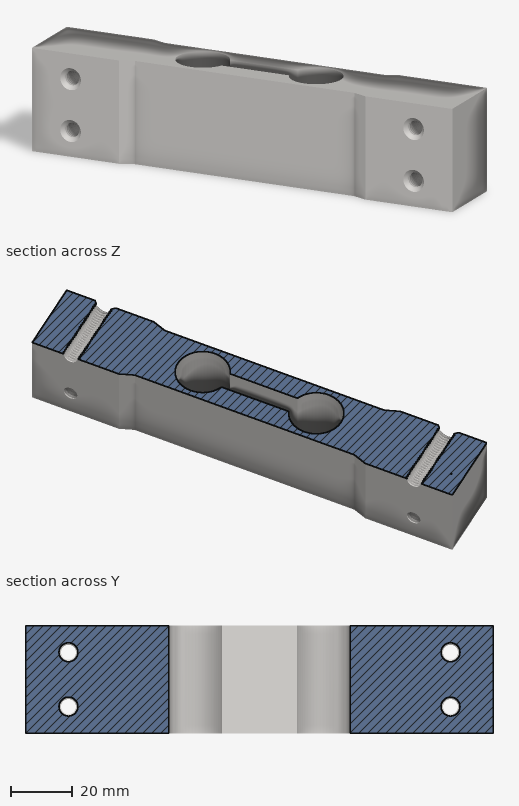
import cadquery as cq
import math

length = 151.8
depth = 25.7
height = 35.0

end_block_length = 31.4
taper_length = 4.9
step_depth = 1.8

bore_diameter = 17.8
bore_spacing = 41.0
slot_width = 6.2

thread_minor_diameter = 4.9
thread_major_diameter = 6.0
thread_pitch = 1.0
groove_fill = 0.9
countersink_diameter = 7.5
hole_end_distance = 14.0
hole_vertical_spacing = 17.6


def make_bar():
    half_length = length / 2
    half_depth = depth / 2
    block_x = half_length - end_block_length
    waist_x = block_x - taper_length
    waist_y = half_depth - step_depth
    front_edge = [
        (-half_length, -half_depth),
        (-block_x, -half_depth),
        (-waist_x, -waist_y),
        (waist_x, -waist_y),
        (block_x, -half_depth),
        (half_length, -half_depth),
    ]
    back_edge = [(x, -y) for x, y in reversed(front_edge)]
    profile = cq.Workplane("XY").polyline(front_edge + back_edge).close()
    return profile.extrude(height / 2, both=True)


def make_dumbbell_opening():
    bores = (
        cq.Workplane("XY")
        .rarray(bore_spacing, 1.5, 2, 1)
        .circle(bore_diameter / 2)
        .extrude(height / 2, both=True)
    )
    slot = cq.Workplane("XY").box(bore_spacing, slot_width, height)
    return bores.union(slot)


def make_threaded_hole():
    """Hole cutter along Y, with its countersink at the front face."""
    front_y = -depth / 2
    minor_radius = thread_minor_diameter / 2
    major_radius = thread_major_diameter / 2
    sink_radius = countersink_diameter / 2
    thread_start = front_y + sink_radius - minor_radius
    groove_count = math.floor((depth / 2 - thread_start) / thread_pitch)
    half_mouth = thread_pitch * groove_fill / 2

    points = [(0, front_y), (sink_radius, front_y), (minor_radius, thread_start)]
    for index in range(groove_count):
        groove_y = thread_start + (index + 0.5) * thread_pitch
        points.append((minor_radius, groove_y - half_mouth))
        points.append((major_radius, groove_y))
        points.append((minor_radius, groove_y + half_mouth))
    points += [(minor_radius, depth / 2), (0, depth / 2)]
    return cq.Workplane("XY").polyline(points).close().revolve(360, (0, 0), (0, 1))


def drill_mounting_holes(body):
    hole = make_threaded_hole()
    hole_x = length / 2 - hole_end_distance
    hole_z = hole_vertical_spacing / 2
    for x in (-hole_x, hole_x):
        for z in (-hole_z, hole_z):
            body = body.cut(hole.translate((x, 0, z)))
    return body


bar = make_bar().cut(make_dumbbell_opening())
result = drill_mounting_holes(bar)